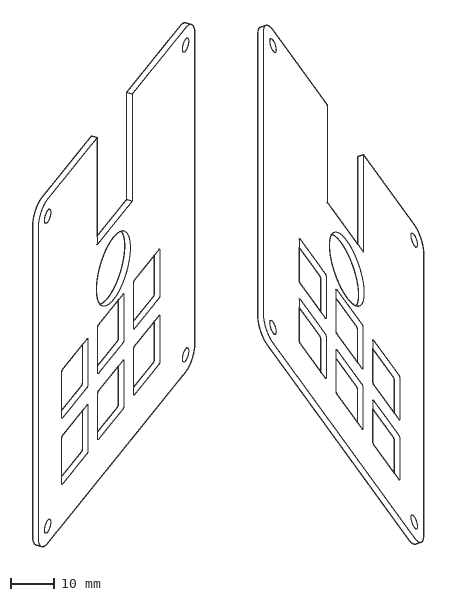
import cadquery as cq

thickness = 1.5
width = 83.1
height = 99.3
corner_radius = 5.0

screw_hole_diameter = 3.4
screw_spacing_y = width - 2 * corner_radius
screw_spacing_z = height - 2 * corner_radius

notch_width = 18.6
notch_depth = 30.9
notch_center_y = -1.0

opening_diameter = 18.0
opening_center_y = -1.7
opening_center_z = 6.1

window_size = 14.0
window_corner_radius = 0.5
window_pitch = 19.1
window_columns = 3
window_rows = 2
grid_center_y = -3.1
grid_center_z = -21.3


def through_block(size_y, size_z, center_y, center_z):
    """Block through the plate thickness, centred at the given place."""
    return cq.Workplane("XY").box(thickness, size_y, size_z).translate((0, center_y, center_z))


def through_cylinders(diameter, centers):
    """Cylinders along X through the plate at each (y, z) centre."""
    return (
        cq.Workplane("YZ")
        .pushPoints(centers)
        .circle(diameter / 2)
        .extrude(thickness / 2, both=True)
    )


plate = through_block(width, height, 0, 0).edges("|X").fillet(corner_radius)

screw_centers = [
    (side_y * screw_spacing_y / 2, side_z * screw_spacing_z / 2)
    for side_y in (-1, 1)
    for side_z in (-1, 1)
]
plate = plate.cut(through_cylinders(screw_hole_diameter, screw_centers))

notch_center_z = (height - notch_depth) / 2
plate = plate.cut(through_block(notch_width, notch_depth, notch_center_y, notch_center_z))

plate = plate.cut(through_cylinders(opening_diameter, [(opening_center_y, opening_center_z)]))

window = through_block(window_size, window_size, 0, 0).edges("|X").fillet(window_corner_radius)
for column in range(window_columns):
    for row in range(window_rows):
        window_y = grid_center_y + (column - (window_columns - 1) / 2) * window_pitch
        window_z = grid_center_z + (row - (window_rows - 1) / 2) * window_pitch
        plate = plate.cut(window.translate((0, window_y, window_z)))

result = plate